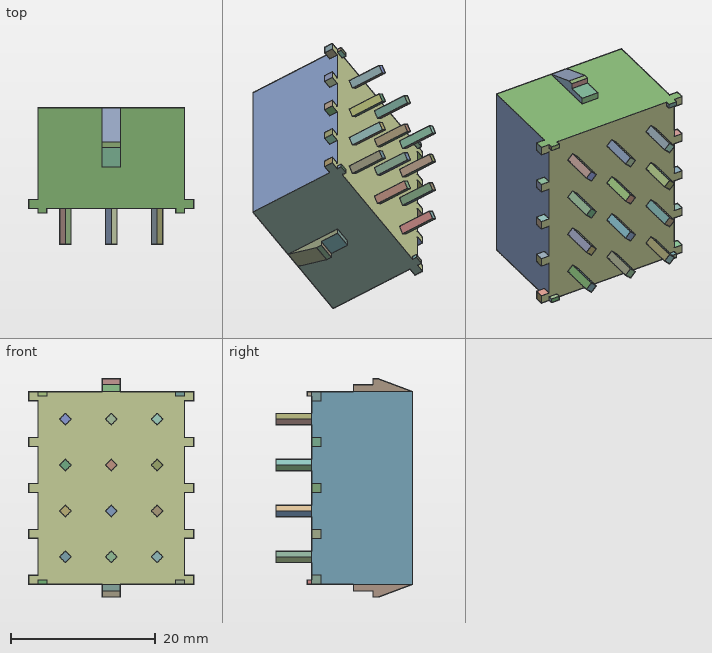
import cadquery as cq

pitch = 6.35
pin_columns = 3
pin_rows = 4
tab_size = 1.27

body_width = 20.32
body_depth = 13.97
body_height = pin_rows * pitch + tab_size

pin_side = 1.14
pin_turn = 45
pin_length = 4.95

foot_width = tab_size
foot_height = tab_size / 2
foot_length = tab_size / 2

latch_width = 2.54
latch_rise = 1.78
latch_step_rise = 0.95
latch_ramp_length = 4.75
latch_crest_length = 0.76
latch_length = 8.2


def make_body():
    return cq.Workplane("XZ").rect(body_width, body_height).extrude(-body_depth)


def make_side_tabs():
    """Rails across the full width, leaving a tab on each side of the body."""
    tab_span = body_width + 2 * tab_size
    centers = [(0, (row - pin_rows / 2) * pitch) for row in range(pin_rows + 1)]
    return cq.Workplane("XZ").pushPoints(centers).rect(tab_span, tab_size).extrude(-tab_size)


def make_pins():
    pin_outline = cq.Sketch().rect(pin_side, pin_side, angle=pin_turn)
    return (
        cq.Workplane("XZ")
        .rarray(pitch, pitch, pin_columns, pin_rows)
        .placeSketch(pin_outline)
        .extrude(pin_length)
    )


def make_feet():
    return (
        cq.Workplane("XZ")
        .rarray(body_width - foot_width, body_height - foot_height, 2, 2)
        .rect(foot_width, foot_height)
        .extrude(foot_length)
    )


def make_top_latch():
    """Ramp rising from the closed end to a crest, then a step down to a lower shelf."""
    face_z = body_height / 2
    crest_start = body_depth - latch_ramp_length
    crest_end = crest_start - latch_crest_length
    shelf_end = body_depth - latch_length
    profile = [
        (body_depth, face_z),
        (crest_start, face_z + latch_rise),
        (crest_end, face_z + latch_rise),
        (crest_end, face_z + latch_step_rise),
        (shelf_end, face_z + latch_step_rise),
        (shelf_end, face_z),
    ]
    return cq.Workplane("YZ").polyline(profile).close().extrude(latch_width / 2, both=True)


top_latch = make_top_latch()
bottom_latch = top_latch.mirror("XY")

result = (
    make_body()
    .union(make_side_tabs())
    .union(make_pins())
    .union(make_feet())
    .union(top_latch)
    .union(bottom_latch)
)